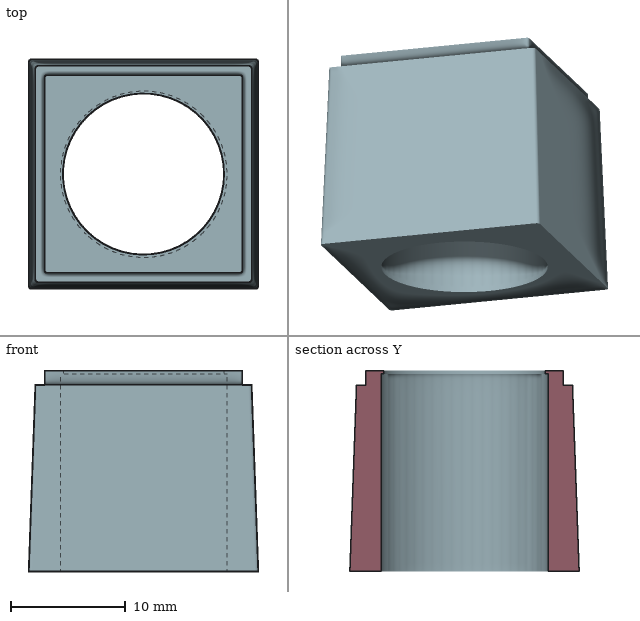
import cadquery as cq

base_side = 20.0
top_side = 18.85
total_height = 17.5
collar_height = 1.25
body_height = total_height - collar_height
corner_radius = 0.3

collar_side = 17.2
collar_corner_radius = 0.2

lip_diameter = 14.0
lip_thickness = 0.3
bore_diameter = 14.5
bore_depth = total_height - lip_thickness


def rounded_square(side, radius):
    return cq.Sketch().rect(side, side).vertices().fillet(radius)


body = (
    cq.Workplane("XY")
    .placeSketch(
        rounded_square(base_side, corner_radius),
        rounded_square(top_side, corner_radius).moved(cq.Location(cq.Vector(0, 0, body_height))),
    )
    .loft()
)

collar = (
    cq.Workplane("XY")
    .workplane(offset=body_height)
    .placeSketch(rounded_square(collar_side, collar_corner_radius))
    .extrude(collar_height)
)

bore = cq.Workplane("XY").circle(bore_diameter / 2).extrude(bore_depth)
lip_opening = cq.Workplane("XY").circle(lip_diameter / 2).extrude(total_height)

result = body.union(collar).cut(bore).cut(lip_opening)